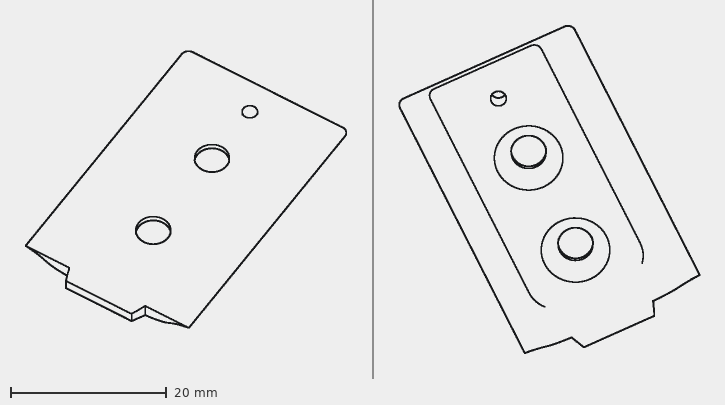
import cadquery as cq

width = 24.95
length = 40.8
thickness = 3.0
rear_y = length / 2
tab_end_y = -length / 2

bottom_half_width = 7.9
control_half_width = 8.25
control_z = 2.1
profile_steps = 8

rear_slope_run = 0.5
front_bottom_y = -14.05
tab_bottom_z = 1.45
front_slope = tab_bottom_z / (front_bottom_y - tab_end_y)
front_corner_radius = 3.9
rear_corner_radius = 1.02

shoulder_y = -18.35
tab_root_half_width = 5.8
tab_end_half_width = 5.02

small_hole_diameter = 2.0
small_hole_y = 15.65
large_hole_diameter = 4.5
large_hole_places = [(0, 6.6), (0, -7.4)]
straight_depth = 0.8


def side_levels():
    """Half width and height of each level of the side curve, bottom to top."""
    levels = []
    for step in range(profile_steps + 1):
        t = step / profile_steps
        bottom_weight = (1 - t) ** 2
        control_weight = 2 * t * (1 - t)
        top_weight = t**2
        half_width = (
            bottom_weight * bottom_half_width
            + control_weight * control_half_width
            + top_weight * width / 2
        )
        z = control_weight * control_z + top_weight * thickness
        levels.append((half_width, z))
    return levels


def section_wire(half_width, z):
    """Horizontal section of the body: a rectangle with rounded corners."""
    rear = rear_y - rear_slope_run * z / thickness
    front = front_bottom_y - z / front_slope
    section = (
        cq.Sketch()
        .push([(0, (rear + front) / 2)])
        .rect(2 * half_width, rear - front)
        .reset()
    )
    section = section.vertices(">Y").fillet(rear_corner_radius)
    section = section.reset().vertices("<Y").fillet(front_corner_radius)
    return cq.Workplane(origin=(0, 0, z)).placeSketch(section).extrude(thickness).faces("<Z").wires().val()


def make_body():
    """Stack ruled lofts between neighbouring levels of the side profile."""
    wires = [section_wire(half_width, z) for half_width, z in side_levels()]
    body = cq.Workplane()
    for lower, upper in zip(wires, wires[1:]):
        body = body.union(cq.Workplane(cq.Solid.makeLoft([lower, upper], True)))
    return body


def plan_outline():
    """Vertical block that trims the front end to the shoulders and tab."""
    return (
        cq.Workplane()
        .moveTo(-width / 2, rear_y)
        .lineTo(-width / 2, shoulder_y)
        .lineTo(-tab_root_half_width, shoulder_y)
        .lineTo(-tab_end_half_width, tab_end_y)
        .lineTo(tab_end_half_width, tab_end_y)
        .lineTo(tab_root_half_width, shoulder_y)
        .lineTo(width / 2, shoulder_y)
        .lineTo(width / 2, rear_y)
        .close()
        .extrude(thickness)
    )


def large_hole_cutter():
    """Through hole with a 45 degree countersink opening at the bottom face."""
    hole_radius = large_hole_diameter / 2
    cone_height = thickness - straight_depth
    cone = cq.Solid.makeCone(hole_radius + cone_height, hole_radius, cone_height)
    holes = cq.Workplane().pushPoints(large_hole_places).circle(hole_radius).extrude(thickness)
    sinks = cq.Workplane().pushPoints(large_hole_places).eachpoint(lambda place: cone.moved(place))
    return holes.union(sinks)


small_hole = cq.Workplane().center(0, small_hole_y).circle(small_hole_diameter / 2).extrude(thickness)

result = make_body().intersect(plan_outline()).cut(large_hole_cutter()).cut(small_hole)